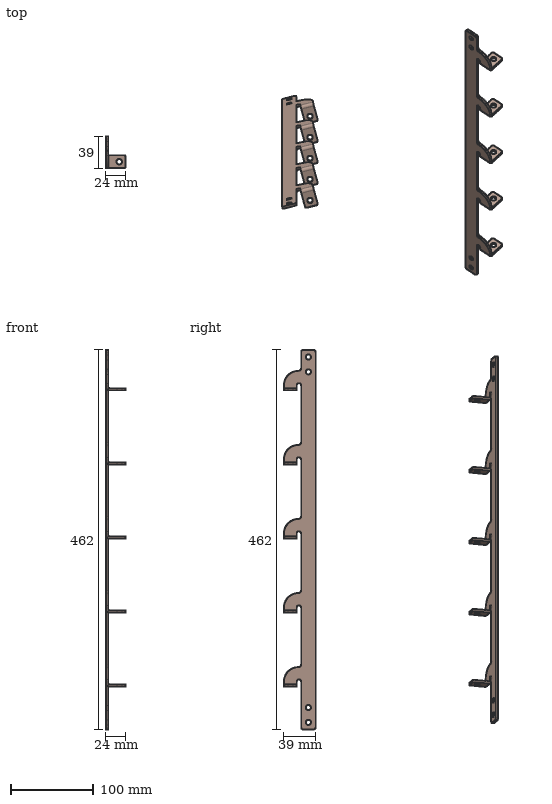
import cadquery as cq
import math

LENGTH = 462.0
TAB_REACH = 24.0
THICKNESS = 3.0
BAR_WIDTH = 18.0
BAR_CORNER_RADIUS = 3.0

MOUNT_HOLES_PER_END = 2
MOUNT_HOLE_DIAMETER = 6.0
MOUNT_END_DISTANCE = 9.0
MOUNT_PITCH = 18.0

HOOK_COUNT = 5
HOOK_PITCH = 90.0
FIRST_HOOK_DROP = 25.5
HOOK_HEIGHT = 24.0
HOOK_ROOT_RADIUS = 2.95
HOOK_ARC_RADIUS = 18.0
NOTCH_WIDTH = 5.0
NOTCH_DROP = 15.2
HOOK_OVERLAP = 2.0

BEND_INNER_RADIUS = 1.0
TAB_CORNER_RADIUS = 2.0
TAB_HOLE_DIAMETER = 6.5
TAB_HOLE_X = 16.0

DIAGONAL = math.sqrt(0.5)
hook_reach = HOOK_ROOT_RADIUS + HOOK_ARC_RADIUS
notch_radius = NOTCH_WIDTH / 2
bend_outer_radius = BEND_INNER_RADIUS + THICKNESS
tab_width = hook_reach - NOTCH_WIDTH
tab_middle_y = -NOTCH_WIDTH - tab_width / 2


def make_bar():
    """Flat bar: outer face on x = 0, hook edge on y = 0, foot on z = 0."""
    bar = cq.Workplane("XY").box(THICKNESS, BAR_WIDTH, LENGTH, centered=False)
    bar = bar.edges("|X").fillet(BAR_CORNER_RADIUS)
    hole_heights = []
    for i in range(MOUNT_HOLES_PER_END):
        end_distance = MOUNT_END_DISTANCE + i * MOUNT_PITCH
        hole_heights += [end_distance, LENGTH - end_distance]
    holes = (
        cq.Workplane("YZ")
        .pushPoints([(BAR_WIDTH / 2, z) for z in hole_heights])
        .circle(MOUNT_HOLE_DIAMETER / 2)
        .extrude(THICKNESS)
    )
    return bar.cut(holes)


def make_hook_plate():
    """Flat part of a hook, its top at z = 0 and its lower end where the bend starts."""
    bend_start_z = bend_outer_radius - HOOK_HEIGHT
    notch_centre_z = -NOTCH_DROP - notch_radius
    return (
        cq.Workplane("YZ")
        .moveTo(HOOK_OVERLAP, HOOK_ROOT_RADIUS)
        .lineTo(0, HOOK_ROOT_RADIUS)
        .threePointArc(
            (-HOOK_ROOT_RADIUS * (1 - DIAGONAL), HOOK_ROOT_RADIUS * (1 - DIAGONAL)),
            (-HOOK_ROOT_RADIUS, 0),
        )
        .threePointArc(
            (-HOOK_ROOT_RADIUS - HOOK_ARC_RADIUS * DIAGONAL, -HOOK_ARC_RADIUS * (1 - DIAGONAL)),
            (-hook_reach, -HOOK_ARC_RADIUS),
        )
        .lineTo(-hook_reach, bend_start_z)
        .lineTo(-NOTCH_WIDTH, bend_start_z)
        .lineTo(-NOTCH_WIDTH, notch_centre_z)
        .threePointArc((-notch_radius, -NOTCH_DROP), (0, notch_centre_z))
        .lineTo(HOOK_OVERLAP, notch_centre_z)
        .close()
        .extrude(THICKNESS)
    )


def make_tab():
    """Quarter-round bend and the level tab beyond it, with the tab hole."""
    underside_z = -HOOK_HEIGHT
    bend_z = underside_z + bend_outer_radius
    tab = (
        cq.Workplane("XZ", origin=(0, -NOTCH_WIDTH, 0))
        .moveTo(0, bend_z)
        .threePointArc(
            (bend_outer_radius * (1 - DIAGONAL), bend_z - bend_outer_radius * DIAGONAL),
            (bend_outer_radius, underside_z),
        )
        .lineTo(TAB_REACH, underside_z)
        .lineTo(TAB_REACH, underside_z + THICKNESS)
        .lineTo(bend_outer_radius, underside_z + THICKNESS)
        .threePointArc(
            (bend_outer_radius - BEND_INNER_RADIUS * DIAGONAL, bend_z - BEND_INNER_RADIUS * DIAGONAL),
            (THICKNESS, bend_z),
        )
        .close()
        .extrude(tab_width)
    )
    tab = tab.edges("|Z and >X").fillet(TAB_CORNER_RADIUS)
    hole = (
        cq.Workplane("XY", origin=(TAB_HOLE_X, tab_middle_y, underside_z))
        .circle(TAB_HOLE_DIAMETER / 2)
        .extrude(THICKNESS)
    )
    return tab.cut(hole)


hook = make_hook_plate().union(make_tab())
result = make_bar()
for i in range(HOOK_COUNT):
    hook_top_z = LENGTH - FIRST_HOOK_DROP - i * HOOK_PITCH
    result = result.union(hook.translate((0, 0, hook_top_z)))